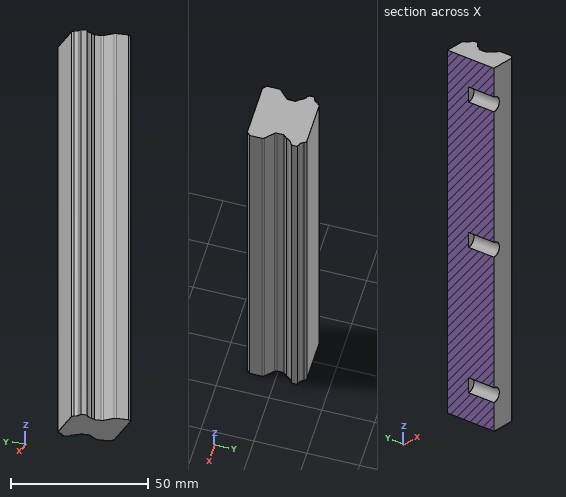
import cadquery as cq

length = 150.0
width = 23.0
height = 22.0
half_width = width / 2

base_chamfer = 1.4
half_waist = 7.8
base_side_top = 6.5
waist_bottom = base_side_top + half_width - half_waist
waist_top = 13.2
flank_fillet = 1.2

lower_groove_start = (9.0, 14.5)
lower_groove_middle = (9.6, 15.8)
lower_groove_end = (10.6, 16.6)
lip_bottom = 17.1
lip_top = 19.4
upper_groove_start = (10.5, 19.8)
upper_groove_middle = (9.6, 20.4)
upper_groove_end = (9.2, 21.3)
half_top = 8.4

hole_diameter = 6.0
hole_depth = 12.0
hole_pitch = 60.0
hole_count = 3


def half_profile():
    """Cross-section on the +X side, closed along the centre plane."""
    return (
        cq.Workplane("XY")
        .moveTo(0, 0)
        .lineTo(half_width - base_chamfer, 0)
        .lineTo(half_width, base_chamfer)
        .lineTo(half_width, base_side_top)
        .lineTo(half_waist, waist_bottom)
        .lineTo(half_waist, waist_top)
        .lineTo(*lower_groove_start)
        .threePointArc(lower_groove_middle, lower_groove_end)
        .lineTo(half_width, lip_bottom)
        .lineTo(half_width, lip_top)
        .lineTo(*upper_groove_start)
        .threePointArc(upper_groove_middle, upper_groove_end)
        .lineTo(half_top, height)
        .lineTo(0, height)
        .close()
    )


def rail_body():
    """Extruded half rail with rounded flank ends, mirrored to full width."""
    half_rail = half_profile().extrude(length)
    for x, y in ((half_width, base_side_top), (half_waist, waist_bottom)):
        edge = cq.selectors.NearestToPointSelector((x, y, length / 2))
        half_rail = half_rail.edges(edge).fillet(flank_fillet)
    return half_rail.union(half_rail.mirror("YZ")).clean()


def mounting_holes():
    """Row of flat-bottomed holes entering from the mounting face."""
    holes = cq.Workplane("XY")
    for index in range(hole_count):
        z = length / 2 + (index - (hole_count - 1) / 2) * hole_pitch
        hole = cq.Solid.makeCylinder(
            hole_diameter / 2, hole_depth, cq.Vector(0, 0, z), cq.Vector(0, 1, 0)
        )
        holes = holes.add(hole)
    return holes.combine()


result = rail_body().cut(mounting_holes())